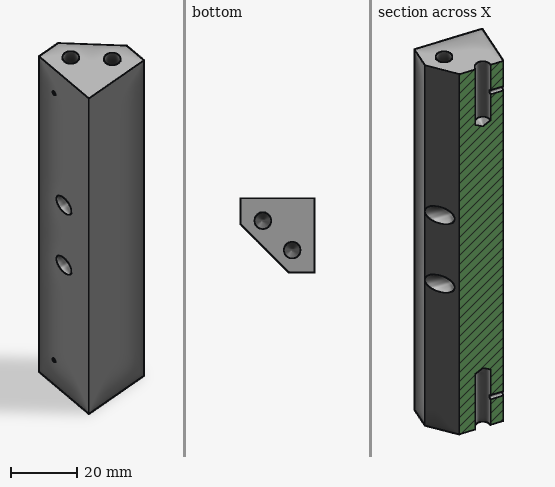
import cadquery as cq
import math

length = 148.1
side = 22.5
corner_cut = 14.7

rod_diameter = 5.0
rod_inset = 6.8
rod_depth = 22.8
drill_point_angle = 118.0

cross_diameter = 6.8
cross_spacing = 28.1

pin_diameter = 1.5
pin_end_distance = 11.4


def bar():
    outline = [
        (0, 0),
        (side, 0),
        (side, side),
        (corner_cut, side),
        (0, side - corner_cut),
    ]
    return cq.Workplane("XY").polyline(outline).close().extrude(length)


def rod_hole_cutter(x, y):
    """Drill shape entering the bottom end at (x, y) and pointing up."""
    radius = rod_diameter / 2
    tip_height = radius / math.tan(math.radians(drill_point_angle / 2))
    half_profile = [
        (0, 0),
        (radius, 0),
        (radius, rod_depth),
        (0, rod_depth + tip_height),
    ]
    cutter = cq.Workplane("XZ").polyline(half_profile).close().revolve(360, (0, 0), (0, 1))
    return cutter.translate((x, y, 0))


def front_hole_cutter(x, z, diameter, depth):
    """Cylinder entering the front face at (x, z) and running along +Y."""
    return cq.Workplane("XZ").center(x, z).circle(diameter / 2).extrude(-depth)


result = bar()

far_inset = side - rod_inset
for position in (rod_inset, far_inset):
    bottom_hole = rod_hole_cutter(position, position)
    top_hole = bottom_hole.mirror("XY", (0, 0, length / 2))
    result = result.cut(bottom_hole).cut(top_hole)

for direction in (-1, 1):
    cross_z = length / 2 + direction * cross_spacing / 2
    result = result.cut(front_hole_cutter(side / 2, cross_z, cross_diameter, side))

    pin_z = length / 2 + direction * (length / 2 - pin_end_distance)
    result = result.cut(front_hole_cutter(rod_inset, pin_z, pin_diameter, rod_inset))